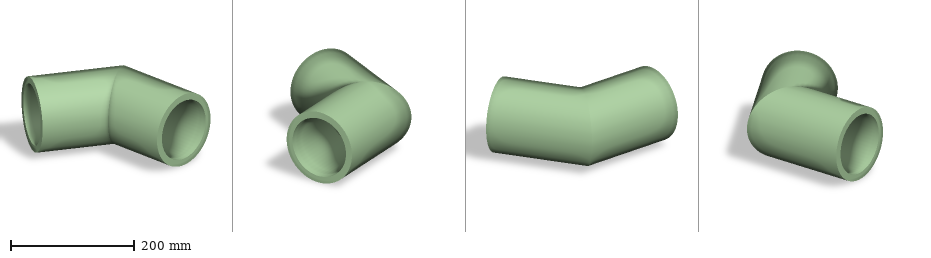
import cadquery as cq
import math

OUTER_DIAMETER = 125.0
WALL_THICKNESS = 11.4
INNER_DIAMETER = OUTER_DIAMETER - 2 * WALL_THICKNESS

BEND_ANGLE = 60.0
LEG_LENGTH = 146.67


def elbow_centreline():
    """Two-segment path in the XY plane with the mitre corner at the origin."""
    bend = math.radians(BEND_ANGLE)
    far_end = (LEG_LENGTH * math.sin(bend), LEG_LENGTH * math.cos(bend))
    return cq.Workplane("XY").polyline([(0, -LEG_LENGTH), (0, 0), far_end])


def mitred_pipe():
    """Ring section swept along the centreline, keeping a sharp mitred corner."""
    section = (
        cq.Workplane("XZ", origin=(0, -LEG_LENGTH, 0))
        .circle(OUTER_DIAMETER / 2)
        .circle(INNER_DIAMETER / 2)
    )
    return section.sweep(elbow_centreline(), transition="right")


result = mitred_pipe()